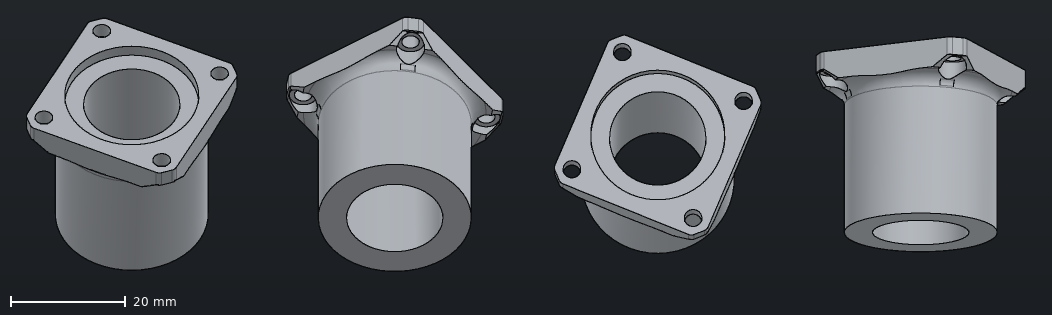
import cadquery as cq
import math

height = 30.48
flange_side = 28.95
half_side = flange_side / 2

flange_thickness = 5.05
corner_thickness = 3.17
corner_chamfer = 2.1
corner_round = 1.25
relief_inset = 5.43
relief_end_inset = 2.55

tube_diameter = 26.67
root_fillet = 2.55
bore_diameter = 16.75
counterbore_diameter = 23.35
counterbore_depth = 2.3

hole_pitch = 22.85
hole_diameter = 3.05
screw_head_diameter = 4.88

hollow_radius = 1.75
hollow_angle = 10.8
hollow_rise = 0.27
hollow_tube_gap = 0.015

flange_bottom = height - flange_thickness
corner_bottom = height - corner_thickness
flare_bottom = flange_bottom - root_fillet
corner_diagonal = half_side * math.sqrt(2)


def make_flange():
    """Square plate with chamfered corners whose edges are rounded."""
    return (
        cq.Workplane("XY", origin=(0, 0, flange_bottom))
        .rect(flange_side, flange_side)
        .extrude(flange_thickness)
        .edges("|Z")
        .chamfer(corner_chamfer)
        .edges("|Z")
        .fillet(corner_round)
    )


def make_tube():
    """Tube with a concave flare, trimmed to the square of the flange."""
    radius = tube_diameter / 2
    flare_radius = radius + root_fillet
    arc_offset = root_fillet * math.sqrt(0.5)
    arc_middle = (flare_radius - arc_offset, flare_bottom + arc_offset)
    tube = (
        cq.Workplane("XZ")
        .lineTo(radius, 0)
        .lineTo(radius, flare_bottom)
        .threePointArc(arc_middle, (flare_radius, flange_bottom))
        .lineTo(0, flange_bottom)
        .close()
        .revolve(360, (0, 0), (0, 1))
    )
    return tube.intersect(cq.Workplane("XY").box(flange_side, flange_side, 2 * height))


def make_corner_relief():
    """Sloped cut under the +X +Y corner, running across the corner's diagonal."""
    slope_start = corner_diagonal - relief_inset / math.sqrt(2)
    slope_end = corner_diagonal - relief_end_inset / math.sqrt(2)
    profile = [
        (slope_start, flange_bottom),
        (slope_end, corner_bottom),
        (corner_diagonal, corner_bottom),
        (corner_diagonal, flange_bottom),
    ]
    return (
        cq.Workplane("XZ")
        .polyline(profile)
        .close()
        .extrude(half_side, both=True)
        .rotate((0, 0, 0), (0, 0, 1), 45)
    )


def make_flare_hollow():
    """Short arc of round bar that thins the flare across the +X +Y diagonal."""
    centre_distance = tube_diameter / 2 + hollow_tube_gap + hollow_radius
    return (
        cq.Workplane("XZ")
        .center(centre_distance, flare_bottom + hollow_rise)
        .circle(hollow_radius)
        .revolve(hollow_angle, (-centre_distance, 0), (-centre_distance, 1))
        .rotate((0, 0, 0), (0, 0, 1), 45 - hollow_angle / 2)
    )


def cylinder_cuts(diameter, bottom, top):
    """Four vertical cylinders on the screw hole pattern."""
    return (
        cq.Workplane("XY", origin=(0, 0, bottom))
        .rect(hole_pitch, hole_pitch, forConstruction=True)
        .vertices()
        .circle(diameter / 2)
        .extrude(top - bottom)
    )


result = make_flange().union(make_tube())

relief = make_corner_relief()
for quarter in range(4):
    result = result.cut(relief.rotate((0, 0, 0), (0, 0, 1), 90 * quarter))

result = result.cut(cylinder_cuts(screw_head_diameter, flare_bottom, corner_bottom))
result = result.cut(cylinder_cuts(hole_diameter, flare_bottom, height))

hollow = make_flare_hollow()
for quarter in range(4):
    result = result.cut(hollow.rotate((0, 0, 0), (0, 0, 1), 90 * quarter))

result = result.faces(">Z").workplane(origin=(0, 0, height)).cboreHole(
    bore_diameter, counterbore_diameter, counterbore_depth
)